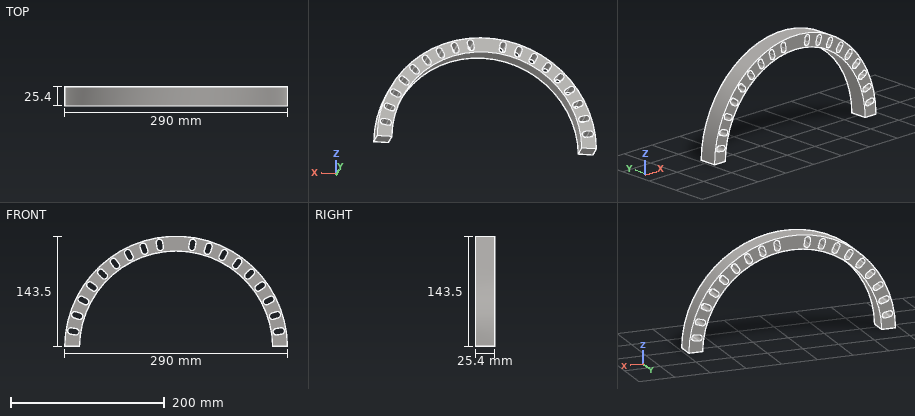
import cadquery as cq

OUTER_RADIUS = 145.0
INNER_RADIUS = 125.45
THICKNESS = 25.4
BASE_HEIGHT = 1.5

SLOT_LENGTH = 14.6
SLOT_WIDTH = 8.0
SLOT_CENTER_RADIUS = (OUTER_RADIUS + INNER_RADIUS) / 2
SLOT_PITCH_ANGLE = 9.0
SLOTS_PER_SIDE = 9


def half_ring():
    """Ring centred on the XZ plane, keeping only the part above the feet."""
    ring = (
        cq.Workplane("XZ")
        .circle(OUTER_RADIUS)
        .circle(INNER_RADIUS)
        .extrude(THICKNESS / 2, both=True)
    )
    upper_space = cq.Workplane("XY").box(
        2 * OUTER_RADIUS, THICKNESS, OUTER_RADIUS, centered=(True, True, False)
    )
    return ring.intersect(upper_space.translate((0, 0, BASE_HEIGHT)))


def radial_slot(angle):
    """Cutter for one slot whose long axis points at the ring axis, angle measured from +X."""
    slot = (
        cq.Workplane("XZ")
        .center(SLOT_CENTER_RADIUS, 0)
        .slot2D(SLOT_LENGTH, SLOT_WIDTH)
        .extrude(THICKNESS / 2, both=True)
    )
    return slot.rotate((0, 0, 0), (0, 1, 0), -angle)


result = half_ring()
for step in range(1, SLOTS_PER_SIDE + 1):
    slot_angle = step * SLOT_PITCH_ANGLE
    result = result.cut(radial_slot(slot_angle))
    result = result.cut(radial_slot(180 - slot_angle))